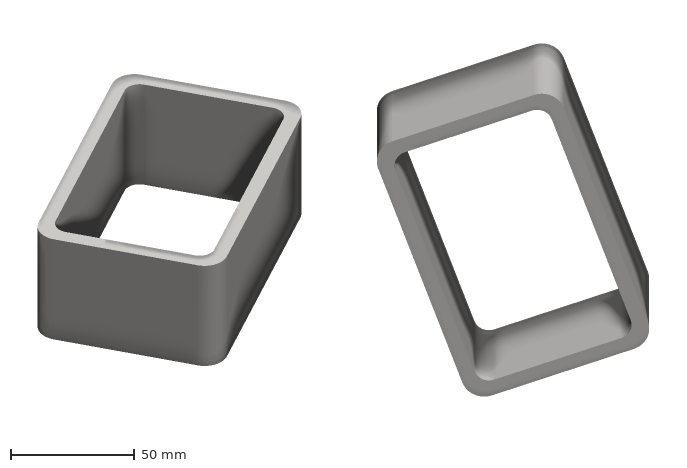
import cadquery as cq

width = 80.0
depth = 120.0
height = 50.0
wall = 6.3
outer_radius = 1.5 * wall
inner_radius = wall


def rounded_block(size_x, size_y, corner_radius):
    """Upright block with its four vertical edges rounded."""
    block = cq.Workplane("XY").rect(size_x, size_y).extrude(height)
    return block.edges("|Z").fillet(corner_radius)


outside = rounded_block(width, depth, outer_radius)
opening = rounded_block(width - 2 * wall, depth - 2 * wall, inner_radius)

result = outside.cut(opening)